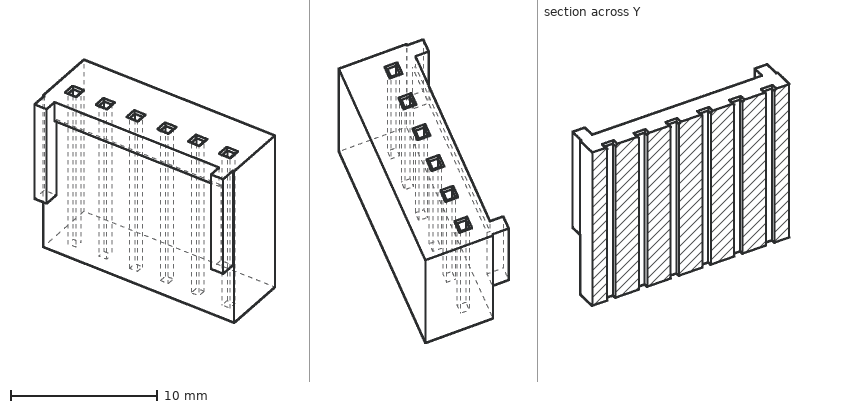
import cadquery as cq

WIDTH = 15.76
BODY_DEPTH = 5.0
HEIGHT = 12.85

RIB_WIDTH = 1.0
RIB_PROJECTION = 1.2
RIB_LENGTH = 8.0
RIB_SIDE_INSET = 0.1

BAND_HEIGHT = 1.6
BAND_PROJECTION = 0.22

CONTACT_COUNT = 6
CONTACT_PITCH = 2.54
CONTACT_SETBACK = 1.58
PASSAGE_SIZE = 0.64
LEAD_IN_DEPTH = 0.15
LEAD_IN_SIZE = PASSAGE_SIZE + 2 * LEAD_IN_DEPTH

RIB_OUTER_X = WIDTH / 2 - RIB_SIDE_INSET
RIB_INNER_X = RIB_OUTER_X - RIB_WIDTH


def make_body():
    return cq.Workplane("XY").box(WIDTH, BODY_DEPTH, HEIGHT, centered=(True, False, False))


def make_rib(side):
    """Guide rib on the +X (side = 1) or -X (side = -1) end of the front face."""
    rib_center_x = side * (RIB_INNER_X + RIB_OUTER_X) / 2
    return (
        cq.Workplane("XY")
        .box(RIB_WIDTH, RIB_PROJECTION, RIB_LENGTH, centered=(True, False, False))
        .translate((rib_center_x, -RIB_PROJECTION, HEIGHT - RIB_LENGTH))
    )


def make_band():
    """Flat raised band that fills the gap between the ribs."""
    return (
        cq.Workplane("XY")
        .box(2 * RIB_INNER_X, BAND_PROJECTION, BAND_HEIGHT, centered=(True, False, False))
        .translate((0, -BAND_PROJECTION, HEIGHT - BAND_HEIGHT))
    )


def make_contact_passage(center_x):
    """Cutter for one through passage and its tapered lead-in."""
    passage = cq.Workplane("XY").rect(PASSAGE_SIZE, PASSAGE_SIZE).extrude(HEIGHT)
    lead_in = (
        cq.Workplane("XY", origin=(0, 0, HEIGHT - LEAD_IN_DEPTH))
        .rect(PASSAGE_SIZE, PASSAGE_SIZE)
        .workplane(offset=LEAD_IN_DEPTH)
        .rect(LEAD_IN_SIZE, LEAD_IN_SIZE)
        .loft(ruled=True)
    )
    return passage.union(lead_in).translate((center_x, CONTACT_SETBACK, 0))


housing = make_body().union(make_band())
for side in (-1, 1):
    housing = housing.union(make_rib(side))

first_contact_x = -CONTACT_PITCH * (CONTACT_COUNT - 1) / 2
for index in range(CONTACT_COUNT):
    housing = housing.cut(make_contact_passage(first_contact_x + index * CONTACT_PITCH))

result = housing